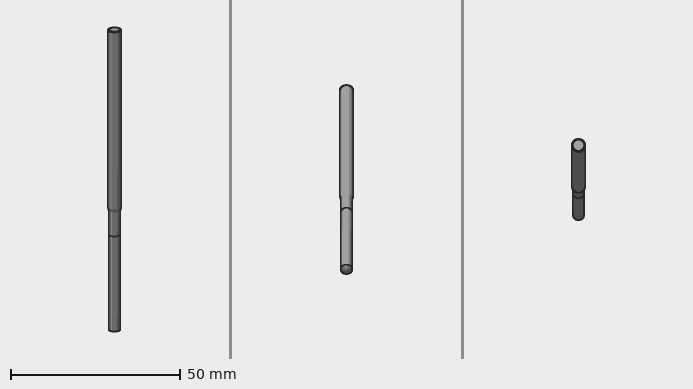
import cadquery as cq
import math

total_length = 95.0

shank_diameter = 4.0
shank_length = 55.9
end_chamfer = 0.3

neck_diameter = 3.4
neck_length = 7.5
shoulder_length = 1.1

tip_diameter = neck_diameter
point_angle = 140.0

shank_radius = shank_diameter / 2
neck_radius = neck_diameter / 2
tip_radius = tip_diameter / 2
shoulder_top_z = total_length - shank_length
shoulder_bottom_z = shoulder_top_z - shoulder_length
joint_z = shoulder_bottom_z - neck_length
point_height = tip_radius / math.tan(math.radians(point_angle / 2))


def revolve_about_z(profile):
    """Revolve (radius, z) points fully about the Z axis."""
    return cq.Workplane("XZ").polyline(profile).close().revolve(360, (0, 0, 0), (0, 1, 0))


def make_shank():
    """Chamfered shank, conical shoulder and neck."""
    return revolve_about_z([
        (0, joint_z),
        (neck_radius, joint_z),
        (neck_radius, shoulder_bottom_z),
        (shank_radius, shoulder_top_z),
        (shank_radius, total_length - end_chamfer),
        (shank_radius - end_chamfer, total_length),
        (0, total_length),
    ])


def make_cutting_tip():
    """Cylindrical tip ending in a conical point."""
    return revolve_about_z([
        (0, 0),
        (tip_radius, point_height),
        (tip_radius, joint_z),
        (0, joint_z),
    ])


shank = make_shank()
cutting_tip = make_cutting_tip()

result = cq.Compound.makeCompound([shank.val(), cutting_tip.val()])